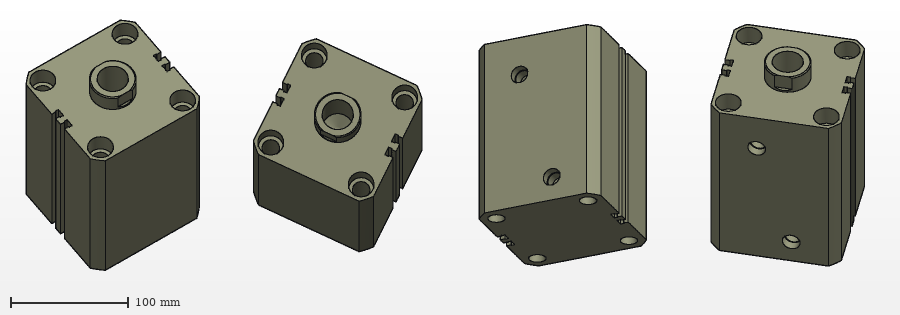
import cadquery as cq
import math

TOTAL_HEIGHT = 177.0
HOUSING_SIDE = 114.0
HOUSING_HEIGHT = 160.0
CORNER_RADIUS = 74.3

BOLT_SPACING = 85.7
BOLT_HOLE_DIAMETER = 14.9
COUNTERBORE_DIAMETER = 22.0
COUNTERBORE_DEPTH = 17.7

GROOVE_OFFSET = 6.5
GROOVE_MOUTH_WIDTH = 5.8
GROOVE_FLOOR_WIDTH = 7.5
GROOVE_DEPTH = 7.5
GROOVE_UNDERCUT_HEIGHT = 3.0

PORT_DIAMETER = 15.4
PORT_DEPTH = 8.0
PORT_BORE_DIAMETER = 14.0
PORT_BORE_DEPTH = 17.7
PORT_OFFSET = 15.0
UPPER_PORT_HEIGHT = 125.0
LOWER_PORT_HEIGHT = 22.0

ROD_DIAMETER = 40.0
ROD_INSERTION = 53.1
ROD_CHAMFER = 1.0
ROD_ACROSS_FLATS = 37.0
ROD_FLAT_HEIGHT = 13.8
FLAT_RUNOUT_ANGLE = 45.0
ROD_BORE_DIAMETER = 26.5
ROD_BORE_DEPTH = 44.2
DRILL_POINT_ANGLE = 118.0

ROD_BOTTOM = HOUSING_HEIGHT - ROD_INSERTION
HALF_SIDE = HOUSING_SIDE / 2


def make_block():
    """Square block with its corners turned down to a large common radius."""
    block = cq.Workplane("XY").rect(HOUSING_SIDE, HOUSING_SIDE).extrude(HOUSING_HEIGHT)
    turned_envelope = cq.Workplane("XY").circle(CORNER_RADIUS).extrude(HOUSING_HEIGHT)
    return block.intersect(turned_envelope)


def groove_cutter(center_x, side):
    """Undercut groove along the full height; side is -1 for the -Y face, +1 for +Y."""
    slot_y = side * (HALF_SIDE - GROOVE_DEPTH / 2)
    undercut_y = side * (HALF_SIDE - GROOVE_DEPTH + GROOVE_UNDERCUT_HEIGHT / 2)
    slot = (
        cq.Workplane("XY")
        .center(center_x, slot_y)
        .rect(GROOVE_MOUTH_WIDTH, GROOVE_DEPTH)
        .extrude(HOUSING_HEIGHT)
    )
    undercut = (
        cq.Workplane("XY")
        .center(center_x, undercut_y)
        .rect(GROOVE_FLOOR_WIDTH, GROOVE_UNDERCUT_HEIGHT)
        .extrude(HOUSING_HEIGHT)
    )
    return slot.union(undercut)


def port_cutter(center_y, center_z):
    """Blind round port entering from the -X side, with a narrower bore behind it."""
    mouth_plane = cq.Workplane("YZ", origin=(-HALF_SIDE, center_y, center_z))
    mouth = mouth_plane.circle(PORT_DIAMETER / 2).extrude(PORT_DEPTH)
    bore = mouth_plane.circle(PORT_BORE_DIAMETER / 2).extrude(PORT_BORE_DEPTH)
    return mouth.union(bore)


def make_housing():
    body = make_block()
    body = (
        body.faces(">Z")
        .workplane(origin=(0, 0, HOUSING_HEIGHT))
        .rect(BOLT_SPACING, BOLT_SPACING, forConstruction=True)
        .vertices()
        .cboreHole(BOLT_HOLE_DIAMETER, COUNTERBORE_DIAMETER, COUNTERBORE_DEPTH)
    )
    for side in (-1, 1):
        for center_x in (-GROOVE_OFFSET, GROOVE_OFFSET):
            body = body.cut(groove_cutter(center_x, side))
    body = body.cut(port_cutter(PORT_OFFSET, UPPER_PORT_HEIGHT))
    body = body.cut(port_cutter(-PORT_OFFSET, LOWER_PORT_HEIGHT))
    rod_pocket = (
        cq.Workplane("XY", origin=(0, 0, ROD_BOTTOM))
        .circle(ROD_DIAMETER / 2)
        .extrude(ROD_INSERTION)
    )
    return body.cut(rod_pocket)


def flat_cutter(side):
    """Wrench flat on the -X or +X side of the rod, ending in a sloped run-out."""
    inner = ROD_ACROSS_FLATS / 2
    outer = ROD_DIAMETER
    flat_bottom = TOTAL_HEIGHT - ROD_FLAT_HEIGHT
    slope_drop = (outer - inner) * math.tan(math.radians(FLAT_RUNOUT_ANGLE))
    return (
        cq.Workplane("XZ")
        .moveTo(side * inner, TOTAL_HEIGHT)
        .lineTo(side * outer, TOTAL_HEIGHT)
        .lineTo(side * outer, flat_bottom - slope_drop)
        .lineTo(side * inner, flat_bottom)
        .close()
        .extrude(ROD_DIAMETER / 2, both=True)
    )


def bore_cutter():
    """Blind hole in the rod end with a conical drill point."""
    radius = ROD_BORE_DIAMETER / 2
    point_height = radius / math.tan(math.radians(DRILL_POINT_ANGLE / 2))
    bore_bottom = TOTAL_HEIGHT - ROD_BORE_DEPTH
    return (
        cq.Workplane("XZ")
        .moveTo(0, TOTAL_HEIGHT)
        .lineTo(radius, TOTAL_HEIGHT)
        .lineTo(radius, bore_bottom)
        .lineTo(0, bore_bottom - point_height)
        .close()
        .revolve(360, (0, 0, 0), (0, 1, 0))
    )


def make_rod():
    body = (
        cq.Workplane("XY", origin=(0, 0, ROD_BOTTOM))
        .circle(ROD_DIAMETER / 2)
        .extrude(TOTAL_HEIGHT - ROD_BOTTOM)
        .faces(">Z")
        .chamfer(ROD_CHAMFER)
    )
    for side in (-1, 1):
        body = body.cut(flat_cutter(side))
    return body.cut(bore_cutter())


housing = make_housing()
rod = make_rod()
result = cq.Compound.makeCompound([housing.val(), rod.val()])